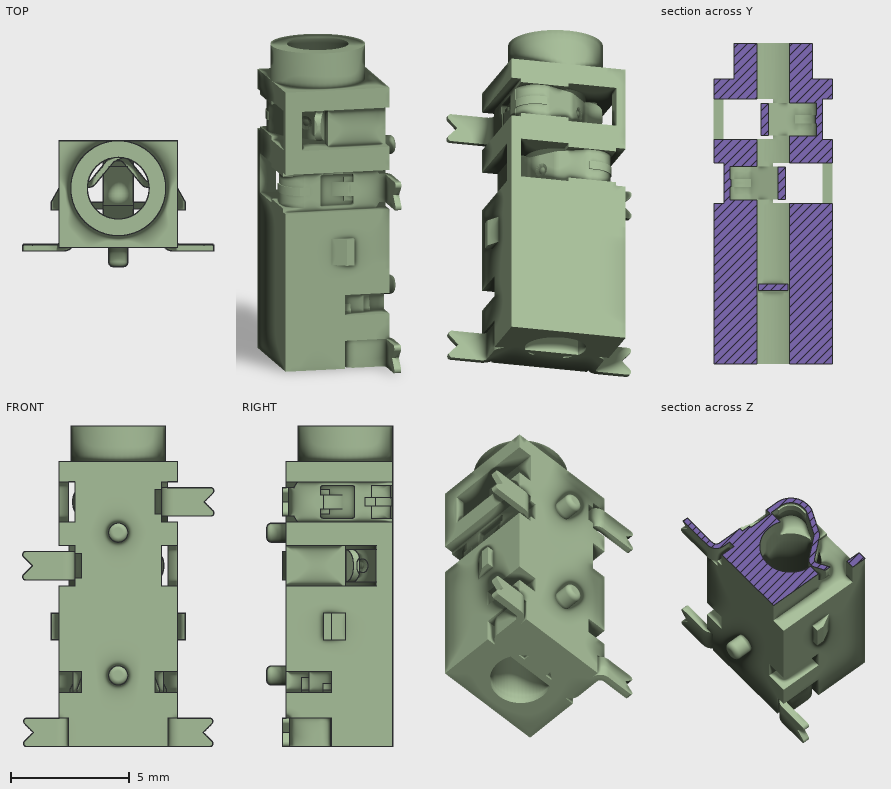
import cadquery as cq
import math


total_height = 13.5
body_height = 12.0
body_width = 5.0
body_back = 2.0
body_front = -2.5
collar_radius = body_back
bore_radius = 1.3
side_x = body_width / 2

peg_radius = 0.4
peg_length = 0.81
peg_round = 0.2
peg_heights = (3.0, 9.0)

wedge_reach = 0.32
wedge_bottom = 4.5
wedge_top = 5.62
wedge_crest_y = -0.58
wedge_front_y = -0.92

high_contact_z = 10.3
low_contact_z = 7.61
sheet = 0.25
plate_inner_x = 1.82
plate_height = 1.69
taper_length = 0.15
slot_outer_x = 2.09
far_window_back = 1.3
arm_height = 1.38
loop_pocket_y = 0.47
solder_height = 1.2
solder_front = -2.65
bend_outer_radius = 0.49
contact_reach = 4.02
loop_top = 1.9
loop_radius = 0.77
plate_end_y = 1.1
arm_knee = (-0.27, 1.22)
arm_valley = (-1.2, 0.08)
arm_tip = (-1.92, 0.49)
knee_radius = 0.4
valley_radius = 0.27
tip_round = 0.62
dimple_share = 0.5
dome_radius = 0.24
hollow_radius = 0.3
hollow_offset = 0.19
rib_height = 0.35
rib_proud = 0.05

window_back = 0.39
window_front = -1.04
window_round = 0.1
tab_back = -0.14
tab_crest = -0.81
tab_front = -0.92
tab_sink = 0.05
tab_height = 0.6
shoulder_back = -0.66
shoulder_height = 1.03
shoulder_sink = 0.16

relief_inner_x = 1.55
relief_height = 1.03
relief_depth = 0.66

barb_pocket_bottom = 2.28
barb_pocket_top = 3.17
barb_pocket_back = -0.58
barb_wall_x = 1.9
barb_slot_back = -1.53
barb_slot_front = -1.84
barb_rear_front = -0.95
barb_tip_z = 2.39
deep_barb = (2.92, 0.19)
shallow_barb = (2.66, 0.14)

ground_sheet = 0.3
ground_inner_x = 2.09
ground_back = -0.58
ground_reach = 3.98
ground_height = solder_height
tongue_width = 1.27
tongue_top = 5.4
tongue_bend_y = -0.73
tongue_lip_y = 0.92
tongue_tip_y = 1.15
tongue_leg_y = -1.22

fork_depth = 0.4
fork_round = 0.128


def block(x0, x1, y0, y1, z0, z1):
    """Box between two opposite corners."""
    return cq.Workplane("XY").box(x1 - x0, y1 - y0, z1 - z0, centered=False).translate((x0, y0, z0))


def band(x0, x1, y0, y1, z_mid, height):
    """Box centred on a height."""
    return block(x0, x1, y0, y1, z_mid - height / 2, z_mid + height / 2)


def mirrored(shape):
    return shape.mirror("YZ")


def left_of(direction):
    """Unit vector 90 degrees counter-clockwise from a direction in the XY plane."""
    return cq.Vector(-direction.y, direction.x, 0).normalized()


def offset_path(points, radii, offset):
    """Start, end and bends (entry, middle, exit) of an XY path shifted sideways to its left."""
    corners = [cq.Vector(*point) for point in points]
    bends = []
    for before, corner, after, radius in zip(corners, corners[1:], corners[2:], radii):
        arrive = (corner - before).normalized()
        leave = (after - corner).normalized()
        setback = radius * math.tan(arrive.getAngle(leave) / 2)
        turn = math.copysign(1, arrive.cross(leave).z)
        bend_start = corner - arrive * setback
        center = bend_start + left_of(arrive) * (turn * radius)
        bend_middle = center + (corner - center).normalized() * (radius - turn * offset)
        bend_end = corner + leave * setback
        entry = bend_start + left_of(arrive) * offset
        leaving = bend_end + left_of(leave) * offset
        bends.append((entry, bend_middle, leaving))
    start = corners[0] + left_of(corners[1] - corners[0]) * offset
    end = corners[-1] + left_of(corners[-1] - corners[-2]) * offset
    return start, bends, end


def bent_strip(points, radii, thickness, height):
    """Sheet-metal strip of the given height centred on Z = 0, following an XY path.

    points are the path corners and radii the mid-sheet bend radius at each inner corner.
    """
    left_start, left_bends, left_end = offset_path(points, radii, thickness / 2)
    right_start, right_bends, right_end = offset_path(points, radii, -thickness / 2)
    outline = cq.Workplane("XY").moveTo(left_start.x, left_start.y)
    for entry, middle, leaving in left_bends:
        outline = outline.lineTo(entry.x, entry.y)
        outline = outline.threePointArc((middle.x, middle.y), (leaving.x, leaving.y))
    outline = outline.lineTo(left_end.x, left_end.y).lineTo(right_end.x, right_end.y)
    for entry, middle, leaving in reversed(right_bends):
        outline = outline.lineTo(leaving.x, leaving.y)
        outline = outline.threePointArc((middle.x, middle.y), (entry.x, entry.y))
    outline = outline.lineTo(right_start.x, right_start.y).close()
    return outline.extrude(height / 2, both=True)


def solder_tail(reach, plate_x, thickness):
    """Forked tail on the right side, bent from the plate at plate_x to run outward."""
    tail_y = solder_front + thickness / 2
    mid_x = plate_x + thickness / 2
    mid_radius = bend_outer_radius - thickness / 2
    root = (mid_x, solder_front + bend_outer_radius + thickness)
    tail = bent_strip([(reach, tail_y), (mid_x, tail_y), root], [mid_radius], thickness, solder_height)
    fork = (
        cq.Workplane("XZ")
        .polyline([(reach - fork_depth, 0), (reach, fork_depth), (reach, -fork_depth)])
        .close()
        .extrude(-2 * solder_front, both=True)
    )
    return tail.cut(fork).edges("|Y and >X").fillet(fork_round)


def contact_plate():
    """Upright plate on the right side: tapered front end, window with tab, gap for the arm's loop."""
    outer_x = plate_inner_x + sheet
    taper_end = solder_front + bend_outer_radius
    half, half_tail = plate_height / 2, solder_height / 2
    taper_start = taper_end + taper_length
    outline = [
        (body_back, half),
        (taper_start, half),
        (taper_end, half_tail),
        (taper_end, -half_tail),
        (taper_start, -half),
        (body_back, -half),
    ]
    plate = cq.Workplane("YZ").workplane(offset=plate_inner_x).polyline(outline).close().extrude(sheet)
    loop_gap = band(plate_inner_x, outer_x, plate_end_y, body_back, 0, arm_height)
    window = band(plate_inner_x, outer_x, window_front, window_back, 0, arm_height)
    window = window.edges("|X").fillet(window_round)
    tab = (
        cq.Workplane("XY")
        .polyline(
            [
                (plate_inner_x, tab_back),
                (outer_x - tab_sink, tab_crest),
                (outer_x - tab_sink, tab_front),
                (outer_x, tab_front),
                (outer_x, window_front),
                (plate_inner_x, window_front),
            ]
        )
        .close()
        .extrude(tab_height / 2, both=True)
    )
    shoulder_x = outer_x - shoulder_sink
    shoulders = band(plate_inner_x, shoulder_x, window_front, shoulder_back, 0, shoulder_height)
    return plate.cut(loop_gap).cut(window).union(shoulders).union(tab)


def spring_arm():
    """Arm looping over from the right plate and down across the bore to an upturned round tip."""
    mid_x = plate_inner_x + sheet / 2
    mid_top = loop_top - sheet / 2
    loop_root = plate_end_y - sheet
    loop_end_x = mid_x - loop_radius - sheet
    loop_path = [(mid_x, loop_root), (mid_x, mid_top), (loop_end_x, mid_top)]
    arm_path = loop_path + [arm_knee, arm_valley, arm_tip]
    arm_radii = [loop_radius, knee_radius, knee_radius, valley_radius]
    arm = bent_strip(arm_path, arm_radii, sheet, arm_height)
    tip_rounding = (
        band(arm_tip[0], slot_outer_x, body_front, body_back, 0, arm_height)
        .edges("|Y and <X")
        .fillet(tip_round)
    )
    rib = bent_strip(loop_path, [loop_radius], sheet + 2 * rib_proud, rib_height)

    knee, valley = cq.Vector(*arm_knee), cq.Vector(*arm_valley)
    dimple_center = knee + (valley - knee) * dimple_share
    inward = (knee - valley).cross(cq.Vector(0, 0, 1)).normalized()
    dome_center = dimple_center + inward * (sheet / 2)
    hollow_center = dimple_center - inward * hollow_offset
    dome = cq.Workplane("XY").sphere(dome_radius).translate(dome_center)
    hollow = cq.Workplane("XY").sphere(hollow_radius).translate(hollow_center)
    return arm.cut(hollow).union(dome).union(rib).intersect(tip_rounding)


def spring_contact():
    """Complete right-hand contact centred on Z = 0."""
    tail = solder_tail(contact_reach, plate_inner_x, sheet)
    return contact_plate().union(tail).union(spring_arm())


def contact_cavity():
    """Space in the body for a right-hand contact centred on Z = 0."""
    plate_notch = band(plate_inner_x, side_x, body_front, body_back, 0, plate_height)
    far_window = band(-side_x, -plate_inner_x, body_front, far_window_back, 0, plate_height)
    far_slot = band(-slot_outer_x, -plate_inner_x, body_front, body_back, 0, plate_height)
    loop_pocket = band(0, plate_inner_x, loop_pocket_y, body_back, 0, arm_height)
    tip_pocket = band(-plate_inner_x, 0, 0, body_back, 0, plate_height)
    relief = band(relief_inner_x, plate_inner_x, body_front, body_front + relief_depth, 0, relief_height)
    cavity = plate_notch
    for space in (far_window, far_slot, loop_pocket, tip_pocket, relief):
        cavity = cavity.union(space)
    return cavity


def body_shell():
    shell = block(-side_x, side_x, body_front, body_back, 0, body_height)
    collar = cq.Workplane("XY").circle(collar_radius).extrude(total_height)
    bore = cq.Workplane("XY").circle(bore_radius).extrude(total_height)
    return shell.union(collar).cut(bore)


def peg(height):
    pin = cq.Workplane("XZ", origin=(0, body_front, height)).circle(peg_radius).extrude(peg_length)
    return pin.faces("<Y").edges().fillet(peg_round)


def snap_wedge():
    crest_x = side_x + wedge_reach
    outline = [(side_x, 0), (crest_x, wedge_crest_y), (crest_x, wedge_front_y), (side_x, wedge_front_y)]
    wedge = cq.Workplane("XY").workplane(offset=wedge_bottom).polyline(outline).close()
    return wedge.extrude(wedge_top - wedge_bottom)


def barb_pocket():
    """Right-hand pocket, deeper in X towards the front face."""
    wide = block(barb_wall_x, side_x, body_front, barb_pocket_back, barb_pocket_bottom, barb_pocket_top)
    deep = block(relief_inner_x, side_x, body_front, barb_slot_back, barb_pocket_bottom, barb_pocket_top)
    return wide.union(deep)


def barb(wall_x, profile, front_y, back_y):
    """Sloped retention barb standing on a pocket wall that faces right."""
    top_z, reach = profile
    outline = [
        (wall_x, top_z),
        (wall_x + reach, barb_tip_z),
        (wall_x + reach, barb_pocket_bottom),
        (wall_x, barb_pocket_bottom),
    ]
    return cq.Workplane("XZ", origin=(0, back_y, 0)).polyline(outline).close().extrude(back_y - front_y)


def ground_slot():
    """Right-hand slot at the foot of the body for the ground contact."""
    return block(ground_inner_x, side_x, body_front, ground_back, 0, ground_height)


def ground_side():
    """Right half of the ground strap, turned forward and out into a solder tail."""
    mid_x = ground_inner_x + ground_sheet / 2
    mid_y = ground_back - ground_sheet / 2
    plate_end = solder_front + bend_outer_radius
    strap = bent_strip(
        [(0, mid_y), (mid_x, mid_y), (mid_x, plate_end)],
        [bend_outer_radius - ground_sheet / 2],
        ground_sheet,
        ground_height,
    )
    tail = solder_tail(ground_reach, ground_inner_x, ground_sheet)
    return strap.union(tail).translate((0, 0, ground_height / 2))


def ground_tongue():
    """Central tongue: a front leg, a short flat, a falling 45 degree run and a steeper lip."""
    lip_top = tongue_top - (tongue_lip_y - tongue_bend_y)
    lip_drop = 2 * (tongue_tip_y - tongue_lip_y)
    leg_front = tongue_leg_y - ground_sheet
    outline = [
        (leg_front, 0),
        (leg_front, tongue_top),
        (tongue_bend_y, tongue_top),
        (tongue_lip_y, lip_top),
        (tongue_tip_y, lip_top - lip_drop),
        (tongue_tip_y, lip_top - lip_drop - ground_sheet),
        (tongue_lip_y, lip_top - ground_sheet),
        (tongue_bend_y, tongue_top - ground_sheet),
        (tongue_leg_y, tongue_top - ground_sheet),
        (tongue_leg_y, ground_height),
        (ground_back, ground_height),
        (ground_back, 0),
    ]
    return cq.Workplane("YZ").polyline(outline).close().extrude(tongue_width / 2, both=True)


body = body_shell()
body = body.cut(contact_cavity().translate((0, 0, high_contact_z)))
body = body.cut(mirrored(contact_cavity()).translate((0, 0, low_contact_z)))
for side_cut in (barb_pocket(), ground_slot()):
    body = body.cut(side_cut).cut(mirrored(side_cut))

for peg_height in peg_heights:
    body = body.union(peg(peg_height))
deep_right_barb = barb(relief_inner_x, deep_barb, barb_slot_front, barb_slot_back)
shallow_right_barb = barb(barb_wall_x, shallow_barb, barb_rear_front, barb_pocket_back)
for side_feature in (snap_wedge(), deep_right_barb, shallow_right_barb, ground_side()):
    body = body.union(side_feature).union(mirrored(side_feature))
body = body.union(ground_tongue())
body = body.union(spring_contact().translate((0, 0, high_contact_z)))
result = body.union(mirrored(spring_contact()).translate((0, 0, low_contact_z)))